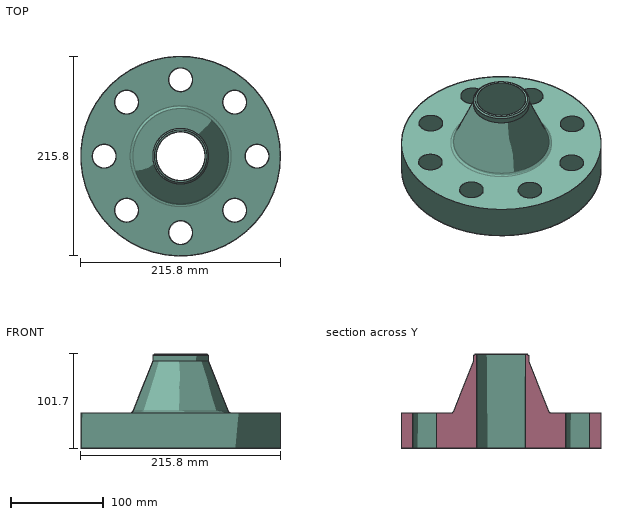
import cadquery as cq
import math

flange_diameter = 215.8
flange_thickness = 38.2

overall_height = 101.7
bore_diameter = 52.5
pipe_diameter = 60.2
pipe_length = 7.5
hub_base_diameter = 104.7
hub_fillet_radius = 3.2
weld_land = 2.2
weld_bevel_height = 1.5

bolt_count = 8
bolt_circle_diameter = 165.1
bolt_hole_diameter = 25.5

face_tolerance = 0.2


def flange_body():
    """Revolve the outer outline of the disc, tapered hub, pipe stub and weld bevel."""
    flange_radius = flange_diameter / 2
    pipe_radius = pipe_diameter / 2
    weld_radius = bore_diameter / 2 + weld_land
    outline = (
        cq.Workplane("XZ")
        .moveTo(0, 0)
        .lineTo(flange_radius, 0)
        .lineTo(flange_radius, flange_thickness)
        .lineTo(hub_base_diameter / 2, flange_thickness)
        .lineTo(pipe_radius, overall_height - pipe_length)
        .lineTo(pipe_radius, overall_height - weld_bevel_height)
        .lineTo(weld_radius, overall_height)
        .lineTo(0, overall_height)
        .close()
    )
    return outline.revolve(360, (0, 0, 0), (0, 1, 0))


def round_hub_root(body):
    """Blend the foot of the tapered hub into the top face of the disc."""
    disc_face = cq.selectors.BoxSelector(
        (-flange_diameter, -flange_diameter, flange_thickness - face_tolerance),
        (flange_diameter, flange_diameter, flange_thickness + face_tolerance),
    )
    smallest_circle = cq.selectors.RadiusNthSelector(0)
    return body.edges(disc_face).edges(smallest_circle).fillet(hub_fillet_radius)


def through_cylinders(diameter, points):
    """Full-height cylinders, used to cut through holes at the given centres."""
    return cq.Workplane("XY").pushPoints(points).circle(diameter / 2).extrude(overall_height)


bolt_circle_radius = bolt_circle_diameter / 2
bolt_centres = []
for index in range(bolt_count):
    angle = index * 2 * math.pi / bolt_count
    x = bolt_circle_radius * math.cos(angle)
    y = bolt_circle_radius * math.sin(angle)
    bolt_centres.append((x, y))

result = round_hub_root(flange_body())
result = result.cut(through_cylinders(bore_diameter, [(0, 0)]))
result = result.cut(through_cylinders(bolt_hole_diameter, bolt_centres))